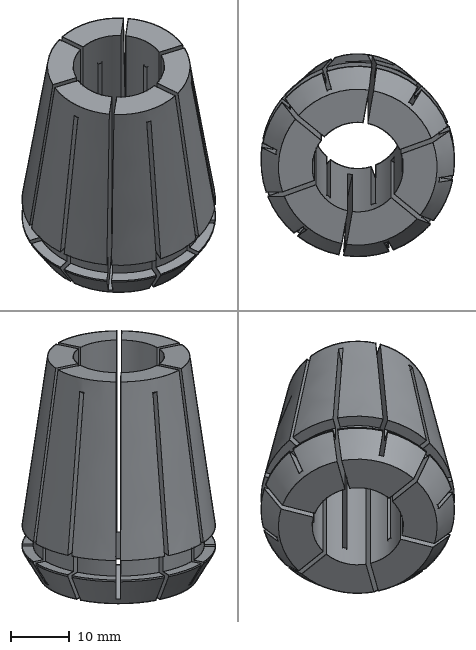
import cadquery as cq
import math

LENGTH = 40.0
MAX_DIAMETER = 33.0
BORE_RADIUS = 7.75

FLANGE_TOP = 5.5
RIM_HEIGHT = 0.3
LOWER_CONE_ANGLE = 30.0
GROOVE_WIDTH = 3.55
GROOVE_RADIUS = 14.6

TAPER_ANGLE = 8.0

SLOTS_PER_SIDE = 6
SLOT_WIDTH = 0.8
SAW_RADIUS = 20.0
TOP_SAW_CENTER = (21.1, 19.8)
BOTTOM_SAW_CENTER = (21.95, 20.05)
CLEARANCE = 1.6

MAX_RADIUS = MAX_DIAMETER / 2
SLOT_PITCH = 360.0 / SLOTS_PER_SIDE
RIM_BOTTOM = FLANGE_TOP - RIM_HEIGHT
TAPER_BOTTOM = FLANGE_TOP + GROOVE_WIDTH
BOTTOM_RADIUS = MAX_RADIUS - RIM_BOTTOM * math.tan(math.radians(LOWER_CONE_ANGLE))
TOP_RADIUS = MAX_RADIUS - (LENGTH - TAPER_BOTTOM) * math.tan(math.radians(TAPER_ANGLE))


def make_body():
    """Revolve the wall section into a bored double cone with a groove."""
    section = [
        (BORE_RADIUS, 0),
        (BOTTOM_RADIUS, 0),
        (MAX_RADIUS, RIM_BOTTOM),
        (MAX_RADIUS, FLANGE_TOP),
        (GROOVE_RADIUS, FLANGE_TOP),
        (GROOVE_RADIUS, TAPER_BOTTOM),
        (MAX_RADIUS, TAPER_BOTTOM),
        (TOP_RADIUS, LENGTH),
        (BORE_RADIUS, LENGTH),
    ]
    return cq.Workplane("XZ").polyline(section).close().revolve(360, (0, 0), (0, 1))


def make_slot(saw_center, open_z, angle):
    """Slot through one wall, open at open_z and ending in an arc at the far side."""
    center_x, center_z = saw_center
    side = math.copysign(1, center_z - open_z)

    def saw_rim(radius):
        return (radius, center_z + side * math.sqrt(SAW_RADIUS**2 - (radius - center_x) ** 2))

    inner = BORE_RADIUS - CLEARANCE
    outer = MAX_RADIUS + CLEARANCE
    beyond_end = open_z - side * CLEARANCE
    return (
        cq.Workplane("XZ")
        .moveTo(inner, beyond_end)
        .lineTo(*saw_rim(inner))
        .threePointArc(saw_rim((inner + outer) / 2), saw_rim(outer))
        .lineTo(outer, beyond_end)
        .close()
        .extrude(SLOT_WIDTH / 2, both=True)
        .rotate((0, 0, 0), (0, 0, 1), angle)
    )


result = make_body()
for index in range(SLOTS_PER_SIDE):
    top_angle = index * SLOT_PITCH
    bottom_angle = top_angle + SLOT_PITCH / 2
    result = result.cut(make_slot(TOP_SAW_CENTER, LENGTH, top_angle))
    result = result.cut(make_slot(BOTTOM_SAW_CENTER, 0, bottom_angle))